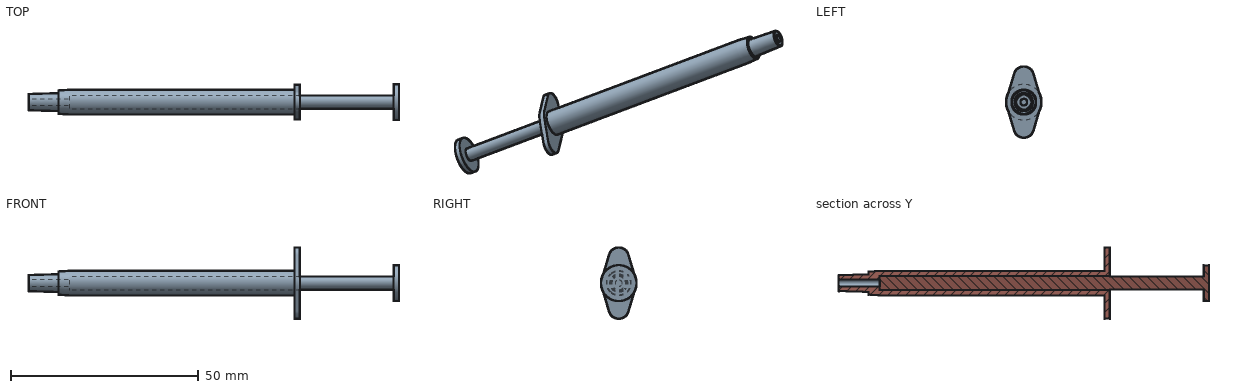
import cadquery as cq
import math

total_length = 99.0
nozzle_length = 8.0
collar_length = 3.0
tip_bevel_length = 0.2
flange_thickness = 1.5
head_thickness = 1.5
flange_rear_distance = 72.5

tip_x = -total_length / 2
collar_x = tip_x + nozzle_length
barrel_x = collar_x + collar_length
flange_rear_x = tip_x + flange_rear_distance
flange_x = flange_rear_x - flange_thickness
end_x = tip_x + total_length

tip_face_diameter = 4.1
nozzle_front_diameter = 4.4
nozzle_base_diameter = 4.87
collar_front_diameter = 6.3
barrel_diameter = 6.67
nozzle_bore_diameter = 1.8
rod_diameter = 3.56
head_diameter = 9.6

flange_height = 19.08
flange_middle_radius = 4.67
flange_end_radius = 2.72


def cylinder(x_start, x_end, diameter):
    """Round bar on the X axis between two stations."""
    return cq.Workplane("YZ", origin=(x_start, 0, 0)).circle(diameter / 2).extrude(x_end - x_start)


def make_barrel_body():
    """Bevelled and tapered nozzle, tapered collar and straight barrel turned about the X axis."""
    profile = [
        (tip_x, 0),
        (tip_x, tip_face_diameter / 2),
        (tip_x + tip_bevel_length, nozzle_front_diameter / 2),
        (collar_x, nozzle_base_diameter / 2),
        (collar_x, collar_front_diameter / 2),
        (barrel_x, barrel_diameter / 2),
        (flange_x, barrel_diameter / 2),
        (flange_x, 0),
    ]
    return cq.Workplane("XY").polyline(profile).close().revolve(360, (0, 0, 0), (1, 0, 0))


def make_flange():
    """Finger flange plate, long in Z, with straight sides tangent to its arcs."""
    end_center_z = flange_height / 2 - flange_end_radius
    side_angle = math.asin((flange_middle_radius - flange_end_radius) / end_center_z)
    middle_y = flange_middle_radius * math.cos(side_angle)
    middle_z = flange_middle_radius * math.sin(side_angle)
    end_y = flange_end_radius * math.cos(side_angle)
    end_z = end_center_z + flange_end_radius * math.sin(side_angle)
    return (
        cq.Workplane("YZ", origin=(flange_x, 0, 0))
        .moveTo(middle_y, -middle_z)
        .threePointArc((flange_middle_radius, 0), (middle_y, middle_z))
        .lineTo(end_y, end_z)
        .threePointArc((0, flange_height / 2), (-end_y, end_z))
        .lineTo(-middle_y, middle_z)
        .threePointArc((-flange_middle_radius, 0), (-middle_y, -middle_z))
        .lineTo(-end_y, -end_z)
        .threePointArc((0, -flange_height / 2), (end_y, -end_z))
        .close()
        .extrude(flange_thickness)
    )


def make_syringe():
    """Barrel with its flange, the nozzle bore and the bore that holds the plunger."""
    nozzle_bore = cylinder(tip_x, barrel_x, nozzle_bore_diameter)
    plunger_bore = cylinder(barrel_x, flange_rear_x, rod_diameter)
    return make_barrel_body().union(make_flange()).cut(nozzle_bore).cut(plunger_bore)


def make_plunger():
    """Plunger rod that fills the barrel bore, with its round thumb head."""
    rod = cylinder(barrel_x, end_x, rod_diameter)
    head = cylinder(end_x - head_thickness, end_x, head_diameter)
    return rod.union(head)


syringe = make_syringe()
plunger = make_plunger()

result = cq.Compound.makeCompound([syringe.val(), plunger.val()])